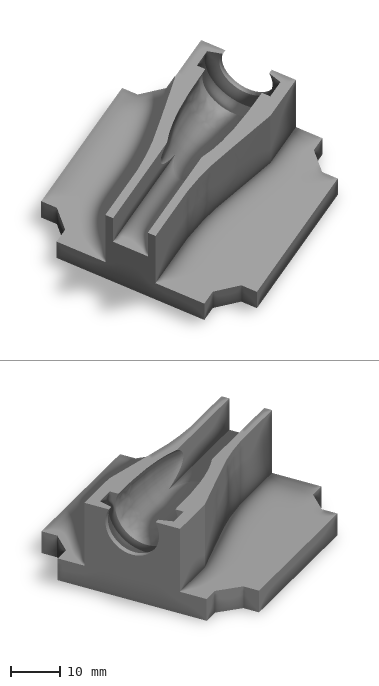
import cadquery as cq

plate_size = 49.8
plate_thickness = 5.15
corner_notch_long = 7.85
corner_notch_short = 3.6
half_plate = plate_size / 2

total_height = 20.05
body_wide_half = 10.95
body_narrow_half = 5.8
taper_start_y = 14.15
taper_end_y = -11.35
flank_points = [(8.6, 4.6), (6.5, -4.55)]
flank_start_direction = (-0.26, -1)
flank_end_direction = (-0.07, -1)

slot_width = 8.0
slot_floor_z = 12.6

cavity_axis_z = 17.0
mouth_radius = 6.15
rim_radius = 9.0
nose_radius = 7.2
mouth_depth = 1.1
rim_back_depth = 2.0
rim_front_depth = 6.3
nose_points = [(6.86, 7.8), (5.94, 1.3), (4.4, -3.95)]
nose_tip_y = -8.0


def make_plate():
    """Square plate with a stepped, slanted relief at each corner."""
    inner = half_plate - corner_notch_long
    outer = half_plate - corner_notch_short
    outline = []
    for sx, sy in [(1, 1), (-1, 1), (-1, -1), (1, -1)]:
        corner = [(half_plate, inner), (outer, inner), (inner, outer), (inner, half_plate)]
        if sx != sy:
            corner.reverse()
        outline += [(sx * x, sy * y) for x, y in corner]
    return cq.Workplane("XY").polyline(outline).close().extrude(plate_thickness)


def make_body_half():
    """Right half of the body: wide at the rear, curving in to a narrow front."""
    return (
        cq.Workplane("XY")
        .moveTo(0, half_plate)
        .lineTo(body_wide_half, half_plate)
        .lineTo(body_wide_half, taper_start_y)
        .spline(
            flank_points + [(body_narrow_half, taper_end_y)],
            tangents=[flank_start_direction, flank_end_direction],
            includeCurrent=True,
        )
        .lineTo(body_narrow_half, -half_plate)
        .lineTo(0, -half_plate)
        .close()
        .extrude(total_height)
    )


def make_slot():
    """Straight slot, open at the top and at both ends."""
    slot_height = total_height - slot_floor_z
    return (
        cq.Workplane("XY")
        .box(slot_width, plate_size, slot_height, centered=(True, True, False))
        .translate((0, 0, slot_floor_z))
    )


def make_cavity():
    """Mouth, conical shoulder, rim groove and rounded nose as one revolved solid."""
    profile = (
        cq.Workplane("XY")
        .moveTo(0, half_plate)
        .lineTo(mouth_radius, half_plate)
        .lineTo(mouth_radius, half_plate - mouth_depth)
        .lineTo(rim_radius, half_plate - rim_back_depth)
        .lineTo(rim_radius, half_plate - rim_front_depth)
        .lineTo(nose_radius, half_plate - rim_front_depth)
        .spline(
            nose_points + [(0, nose_tip_y)],
            tangents=[(0, -1), (-1, 0)],
            includeCurrent=True,
        )
        .close()
    )
    return profile.revolve(360, (0, 0, 0), (0, 1, 0)).translate((0, 0, cavity_axis_z))


body_half = make_body_half()
body = body_half.union(body_half.mirror("YZ"))
result = make_plate().union(body).cut(make_slot()).cut(make_cavity())